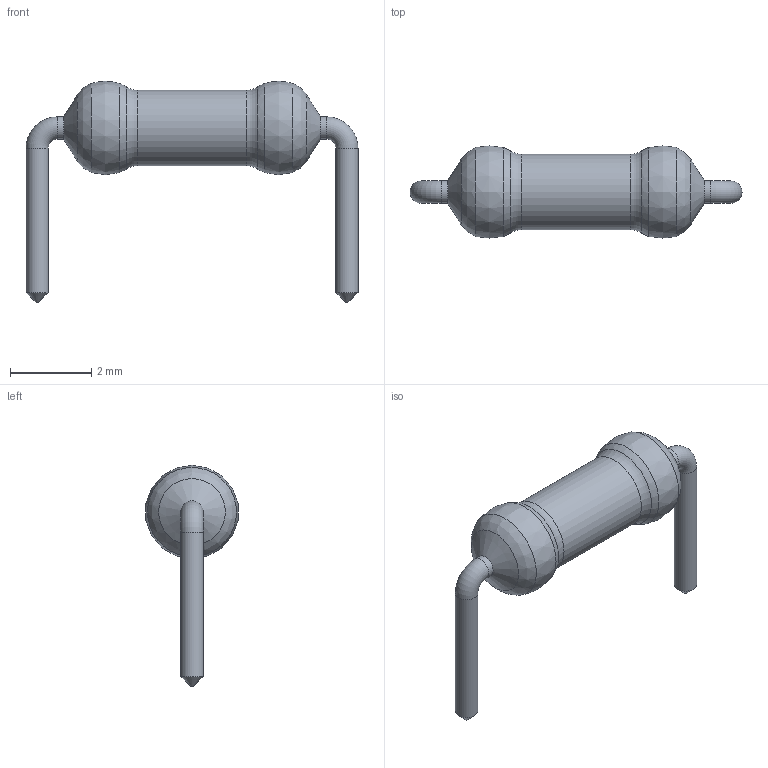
import cadquery as cq


lead_pitch = 7.62
lead_diameter = 0.55
bend_radius = 0.5
lead_drop = 4.3
tip_height = 0.25
tip_radius = 0.025

sleeve_diameter = 1.86
cap_diameter = 2.3

cap_start = 0.65
shoulder_place = 0.99
crown_start = 1.335
crown_end = 2.02
neck_place = 2.195
throat_end = 2.465

shoulder_radius = 0.82
crown_edge_radius = 1.095
neck_radius = 1.01

half_pitch = lead_pitch / 2
lead_radius = lead_diameter / 2
sleeve_radius = sleeve_diameter / 2
cap_radius = cap_diameter / 2


def body_half():
    """Left half of the body: cone, rounded cap, flared throat and straight sleeve."""

    def at(place, radius):
        return (place - half_pitch, radius)

    crown_middle = (crown_start + crown_end) / 2
    return (
        cq.Workplane("XZ")
        .moveTo(*at(cap_start, 0))
        .lineTo(*at(cap_start, lead_radius))
        .lineTo(*at(shoulder_place, shoulder_radius))
        .tangentArcPoint(at(crown_start, crown_edge_radius), relative=False)
        .threePointArc(at(crown_middle, cap_radius), at(crown_end, crown_edge_radius))
        .tangentArcPoint(at(neck_place, neck_radius), relative=False)
        .tangentArcPoint(at(throat_end, sleeve_radius), relative=False)
        .lineTo(0, sleeve_radius)
        .lineTo(0, 0)
        .close()
        .revolve(360, (0, 0, 0), (1, 0, 0))
    )


def left_lead():
    """Round wire from inside the cap, through the bend, down to a pointed tip."""
    shank_bottom = tip_height - lead_drop
    path = (
        cq.Workplane("XZ")
        .moveTo(-half_pitch, shank_bottom)
        .lineTo(-half_pitch, -bend_radius)
        .tangentArcPoint((bend_radius - half_pitch, 0), relative=False)
        .lineTo(crown_start - half_pitch, 0)
    )
    wire = (
        cq.Workplane("XY", origin=(-half_pitch, 0, shank_bottom))
        .circle(lead_radius)
        .sweep(path)
    )
    tip = (
        cq.Workplane("XZ", origin=(-half_pitch, 0, -lead_drop))
        .lineTo(tip_radius, 0)
        .lineTo(lead_radius, tip_height)
        .lineTo(0, tip_height)
        .close()
        .revolve(360, (0, 0, 0), (0, 1, 0))
    )
    return wire.union(tip)


left_half = body_half().union(left_lead())
result = left_half.union(left_half.mirror("YZ")).clean()